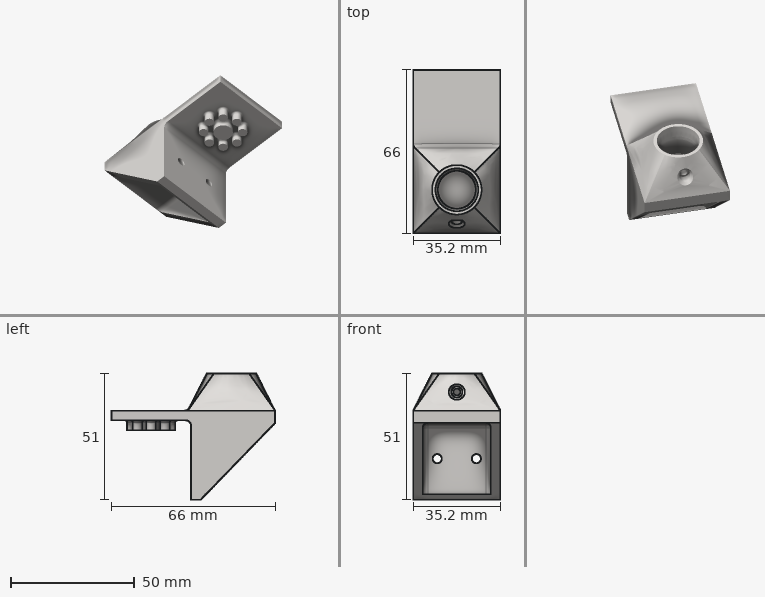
import cadquery as cq
import math

WIDTH = 35.2
LENGTH = 66.0
HEIGHT = 51.0

SOCKET_HEIGHT = 15.0
PLATE_TOP = HEIGHT - SOCKET_HEIGHT
PLATE_THICKNESS = 4.0
PLATE_BOTTOM = PLATE_TOP - PLATE_THICKNESS
BRACKET_BACK = 34.0
FOOT_LENGTH = 4.0
FRONT_FACE_HEIGHT = 5.0
INNER_CORNER_RADIUS = 2.0

POCKET_WIDTH = 27.5
POCKET_TOP = PLATE_TOP - FRONT_FACE_HEIGHT
POCKET_BOTTOM = 2.2
POCKET_BACK = BRACKET_BACK - FOOT_LENGTH
POCKET_RADIUS = 2.0

MOUNT_HOLE_DIAMETER = 3.6
MOUNT_HOLE_SPACING = 15.8
MOUNT_HOLE_HEIGHT = 16.6

SOCKET_CENTER_Y = WIDTH / 2
RIM_DIAMETER = 20.0
SOCKET_FILLET = 2.0
BORE_DIAMETER = 15.3
BORE_DEPTH = 14.0
MOUTH_DIAMETER = 17.3
MOUTH_DEPTH = 5.5
THROAT_RADIUS = 8.0

SCREW_HEIGHT = PLATE_TOP + SOCKET_HEIGHT / 2
SCREW_HOLE_DIAMETER = 2.8
SCREW_HEAD_DIAMETER = 4.5
SCREW_HEAD_FLOOR_Y = 6.5
SCREW_CHAMFER = 1.0

BOSS_DIAMETER = 7.8
PIN_DIAMETER = 3.8
PIN_COUNT = 8
PIN_CIRCLE_RADIUS = 7.85
PIN_LENGTH = 4.0
PIN_ROOT_FILLET = 0.7
PIN_CENTER_Y = (BRACKET_BACK + LENGTH) / 2

PICK_MARGIN = 0.1


def make_bracket():
    """Plate with the wedge-shaped bracket below its front part."""
    return (
        cq.Workplane("YZ")
        .moveTo(0, PLATE_TOP)
        .lineTo(LENGTH, PLATE_TOP)
        .lineTo(LENGTH, PLATE_BOTTOM)
        .lineTo(BRACKET_BACK, PLATE_BOTTOM)
        .lineTo(BRACKET_BACK, 0)
        .lineTo(BRACKET_BACK - FOOT_LENGTH, 0)
        .lineTo(0, PLATE_TOP - FRONT_FACE_HEIGHT)
        .close()
        .extrude(WIDTH / 2, both=True)
        .edges(cq.selectors.NearestToPointSelector((0, BRACKET_BACK, PLATE_BOTTOM)))
        .fillet(INNER_CORNER_RADIUS)
    )


def rim_arc_point(degrees):
    """Point on the socket rim at the given angle."""
    angle = math.radians(degrees)
    radius = RIM_DIAMETER / 2
    return (radius * math.cos(angle), radius * math.sin(angle))


def make_socket():
    """Square-to-round loft whose rim is split where the base corners point."""
    half = WIDTH / 2
    corners = [(half, -half), (half, half), (-half, half), (-half, -half)]
    base = cq.Workplane("XY", origin=(0, SOCKET_CENTER_Y, PLATE_TOP)).polyline(corners).close()
    rim = base.workplane(offset=SOCKET_HEIGHT).moveTo(*rim_arc_point(-45))
    for start in (-45, 45, 135, 225):
        rim = rim.threePointArc(rim_arc_point(start + 45), rim_arc_point(start + 90))
    return rim.close().loft(ruled=True)


def add_socket_fillet(body):
    """Round the corner where the back of the socket meets the plate."""
    corner = cq.selectors.NearestToPointSelector((0, WIDTH, PLATE_TOP))
    rounded = body.edges(corner).fillet(SOCKET_FILLET)
    healed = rounded.val().fix()
    return cq.Workplane(healed.Solids()[0])


def make_pocket():
    """Block with rounded ceiling and back edges that hollows out the bracket."""
    return (
        cq.Workplane("XY", origin=(0, 0, POCKET_BOTTOM))
        .box(POCKET_WIDTH, 2 * POCKET_BACK, POCKET_TOP - POCKET_BOTTOM, centered=(True, True, False))
        .edges("(|Y and >Z) or (>Y and (not <Z))")
        .fillet(POCKET_RADIUS)
    )


def cut_mount_holes(body):
    """Two holes through the wall behind the pocket."""
    holes = (
        cq.Workplane("XZ", origin=(0, BRACKET_BACK, MOUNT_HOLE_HEIGHT))
        .rarray(MOUNT_HOLE_SPACING, 1, 2, 1)
        .circle(MOUNT_HOLE_DIAMETER / 2)
        .extrude(FOOT_LENGTH)
    )
    return body.cut(holes)


def cut_screw_hole(body):
    """Stepped hole with a chamfered mouth on the front of the socket."""
    front = cq.Workplane("XZ", origin=(0, 0, SCREW_HEIGHT))
    head = front.circle(SCREW_HEAD_DIAMETER / 2).extrude(-SCREW_HEAD_FLOOR_Y)
    hole = front.circle(SCREW_HOLE_DIAMETER / 2).extrude(-SOCKET_CENTER_Y)
    reach = SCREW_HEAD_DIAMETER / 2 + SCREW_CHAMFER
    mouth = cq.selectors.BoxSelector(
        (-reach, 0, SCREW_HEIGHT - reach),
        (reach, SCREW_HEAD_FLOOR_Y - PICK_MARGIN, SCREW_HEIGHT + reach),
    )
    headed = body.cut(head).edges(mouth).edges("%BSPLINE").chamfer(SCREW_CHAMFER)
    return headed.cut(hole)


def cut_bore(body):
    """Blind bore with a tapered mouth that blends into it."""
    rim = cq.Workplane("XY", origin=(0, SOCKET_CENTER_Y, HEIGHT))
    bore = rim.circle(BORE_DIAMETER / 2).extrude(-BORE_DEPTH)
    mouth = (
        rim.circle(MOUTH_DIAMETER / 2)
        .workplane(offset=-MOUTH_DEPTH)
        .circle(BORE_DIAMETER / 2)
        .loft(ruled=True)
    )
    throat_height = HEIGHT - MOUTH_DEPTH
    throat = cq.selectors.BoxSelector(
        (-BORE_DIAMETER, 0, throat_height - PICK_MARGIN),
        (BORE_DIAMETER, WIDTH, throat_height + PICK_MARGIN),
    )
    cutter = bore.union(mouth).edges(throat).edges("%CIRCLE").fillet(THROAT_RADIUS)
    return body.cut(cutter)


def add_pins(body):
    """Boss and pins with rounded roots on the underside of the plate."""
    underside = cq.Workplane("XY", origin=(0, PIN_CENTER_Y, PLATE_BOTTOM))
    boss = underside.circle(BOSS_DIAMETER / 2).extrude(-PIN_LENGTH)
    pins = (
        underside.polarArray(PIN_CIRCLE_RADIUS, 0, 360, PIN_COUNT)
        .circle(PIN_DIAMETER / 2)
        .extrude(-PIN_LENGTH)
    )
    reach = PIN_CIRCLE_RADIUS + PIN_DIAMETER
    roots = cq.selectors.BoxSelector(
        (-reach, PIN_CENTER_Y - reach, PLATE_BOTTOM - PICK_MARGIN),
        (reach, PIN_CENTER_Y + reach, PLATE_BOTTOM + PICK_MARGIN),
    )
    return body.union(boss).union(pins).edges(roots).edges("%CIRCLE").fillet(PIN_ROOT_FILLET)


result = add_socket_fillet(make_bracket().union(make_socket()))
result = result.cut(make_pocket())
result = cut_mount_holes(result)
result = cut_screw_hole(result)
result = cut_bore(result)
result = add_pins(result)